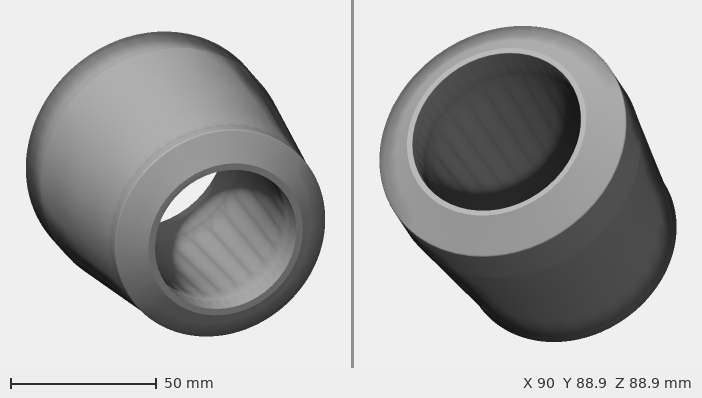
import cadquery as cq
import math

length = 90.0
large_radius = 88.9 / 2
small_radius = 76.1 / 2
large_bore_radius = 60.5 / 2
small_bore_radius = 51.1 / 2
large_land = 2.0
small_land = 2.3
bevel_angle = 30.0
taper_start = 23.0
taper_end = 80.1

bore_taper_start = 14.9
bevel_round = 0.9
bore_mouth_round = 0.3
shoulder_round = 3.15

large_face_radius = large_bore_radius + large_land
small_face_radius = small_bore_radius + small_land
bevel_slope = math.tan(math.radians(bevel_angle))
large_bevel = (large_radius - large_face_radius) * bevel_slope
small_bevel = (small_radius - small_face_radius) * bevel_slope

half_section = [
    (0, large_face_radius),
    (large_bevel, large_radius),
    (taper_start, large_radius),
    (taper_end, small_radius),
    (length - small_bevel, small_radius),
    (length, small_face_radius),
    (length, small_bore_radius),
    (taper_end, small_bore_radius),
    (bore_taper_start, large_bore_radius),
    (0, large_bore_radius),
]

body = cq.Workplane("XY").polyline(half_section).close().revolve(360, (0, 0, 0), (1, 0, 0))


def round_edge(solid, x, radius, round_radius):
    """Round the circular edge that has the given radius and is centred on the axis at X."""
    tolerance = 0.1
    matches = [
        edge
        for edge in solid.edges("%CIRCLE").vals()
        if abs(edge.Center().x - x) < tolerance and abs(edge.radius() - radius) < tolerance
    ]
    return solid.newObject(matches).fillet(round_radius)


body = round_edge(body, large_bevel, large_radius, bevel_round)
body = round_edge(body, taper_start, large_radius, shoulder_round)
body = round_edge(body, length - small_bevel, small_radius, bevel_round)
result = round_edge(body, 0, large_bore_radius, bore_mouth_round)